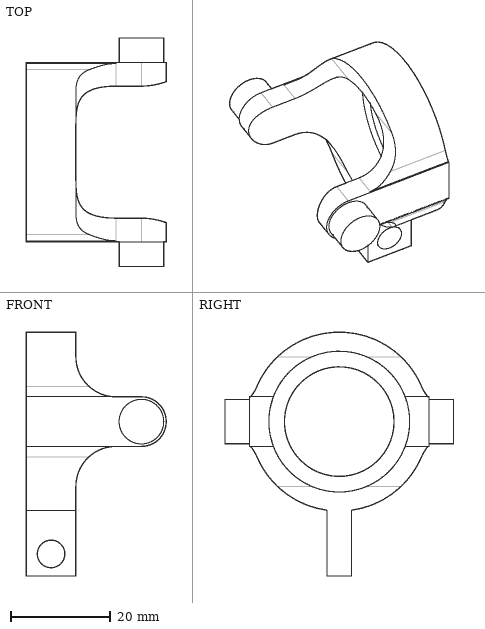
import cadquery as cq
import math

overall_length = 28.15
overall_width = 46.0
overall_height = 49.05

ring_radius = 18.0
ring_depth = 10.0
bore_diameter = 22.0
counterbore_diameter = 28.3
lip_depth = 2.0

arm_height = 10.0
arm_half_height = arm_height / 2
arm_outer_y = 18.05
arm_root_radius = 8.0
pin_diameter = 9.0
pin_x = overall_length - arm_half_height

ledge_y = 17.8
blend_start_z = 7.05

tab_width = 5.0
tab_bottom_z = ring_radius - overall_height
tab_hole_diameter = 5.5
tab_hole_x = ring_depth / 2
tab_hole_height = 4.45
tab_hole_z = tab_bottom_z + tab_hole_height


def along_x(x):
    """YZ workplane at the given X, with local axes Y and Z."""
    return cq.Workplane("YZ", origin=(x, 0, 0))


def make_outline():
    """Ring outline blended into a flat on each side, extruded over the full length."""
    blend_y = math.sqrt(ring_radius**2 - blend_start_z**2)
    ring_tangent = cq.Vector(0, blend_start_z, -blend_y)
    blend = cq.Edge.makeTangentArc(
        cq.Vector(0, blend_y, blend_start_z),
        ring_tangent,
        cq.Vector(0, ledge_y, arm_half_height),
    )
    blend_middle = blend.positionAt(0.5)
    mid_y, mid_z = blend_middle.y, blend_middle.z
    return (
        along_x(0)
        .moveTo(-blend_y, blend_start_z)
        .threePointArc((0, ring_radius), (blend_y, blend_start_z))
        .threePointArc((mid_y, mid_z), (ledge_y, arm_half_height))
        .lineTo(arm_outer_y, arm_half_height)
        .lineTo(arm_outer_y, -arm_half_height)
        .lineTo(ledge_y, -arm_half_height)
        .threePointArc((mid_y, -mid_z), (blend_y, -blend_start_z))
        .threePointArc((0, -ring_radius), (-blend_y, -blend_start_z))
        .threePointArc((-mid_y, -mid_z), (-ledge_y, -arm_half_height))
        .lineTo(-arm_outer_y, -arm_half_height)
        .lineTo(-arm_outer_y, arm_half_height)
        .lineTo(-ledge_y, arm_half_height)
        .threePointArc((-mid_y, mid_z), (-blend_y, blend_start_z))
        .close()
        .extrude(overall_length)
    )


def make_side_profile():
    """Ring depth flaring through the root radii into the round-ended arms."""
    root_x = ring_depth + arm_root_radius
    root_z = arm_half_height + arm_root_radius
    root_offset = arm_root_radius * math.sqrt(0.5)
    return (
        cq.Workplane("XZ")
        .moveTo(0, ring_radius)
        .lineTo(ring_depth, ring_radius)
        .lineTo(ring_depth, root_z)
        .threePointArc((root_x - root_offset, root_z - root_offset), (root_x, arm_half_height))
        .lineTo(pin_x, arm_half_height)
        .threePointArc((overall_length, 0), (pin_x, -arm_half_height))
        .lineTo(root_x, -arm_half_height)
        .threePointArc((root_x - root_offset, root_offset - root_z), (ring_depth, -root_z))
        .lineTo(ring_depth, -ring_radius)
        .lineTo(0, -ring_radius)
        .close()
        .extrude(arm_outer_y, both=True)
    )


def make_pin(side):
    """Pin standing on the outer face of one arm; side is +1 or -1 along Y."""
    pin_length = overall_width / 2 - arm_outer_y
    plane = cq.Plane(origin=(pin_x, side * arm_outer_y, 0), xDir=(1, 0, 0), normal=(0, side, 0))
    return cq.Workplane(plane).circle(pin_diameter / 2).extrude(pin_length)


def make_tab():
    """Flat tab below the ring, with a cross hole along Y."""
    tab = cq.Workplane("XY", origin=(ring_depth / 2, 0, tab_bottom_z))
    tab = tab.rect(ring_depth, tab_width).extrude(-tab_bottom_z)
    hole = (
        cq.Workplane("XZ")
        .center(tab_hole_x, tab_hole_z)
        .circle(tab_hole_diameter / 2)
        .extrude(tab_width, both=True)
    )
    return tab.cut(hole)


body = make_outline().intersect(make_side_profile()).union(make_tab())

body = body.cut(along_x(0).circle(bore_diameter / 2).extrude(lip_depth))
body = body.cut(along_x(lip_depth).circle(counterbore_diameter / 2).extrude(overall_length))

for side in (1, -1):
    body = body.union(make_pin(side))

result = body